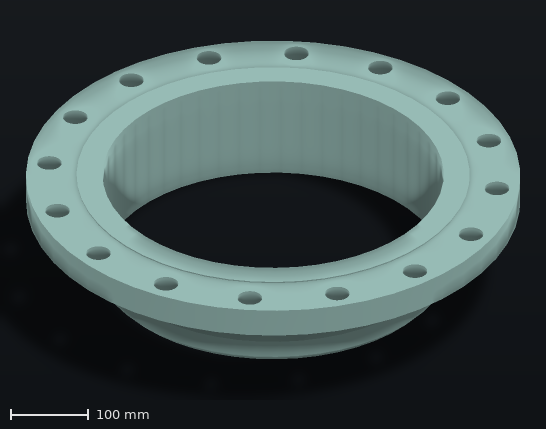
import cadquery as cq
import math

flange_diameter = 635.0
flange_thickness = 38.1
raised_face_height = 1.66
overall_height = 139.76

hub_base_diameter = 505.0
raised_face_diameter = hub_base_diameter
neck_diameter = 457.2
bore_diameter = 438.2
neck_height = 32.5
bevel_height = 9.5
weld_land = 0.6

hub_seam_angle_at_flange = -22.5
hub_twist = 18.5

bolt_count = 16
bolt_circle_diameter = 577.8
bolt_hole_diameter = 31.8

bore_radius = bore_diameter / 2
neck_radius = neck_diameter / 2
flange_top = overall_height - raised_face_height
flange_bottom = flange_top - flange_thickness


def disc(diameter, bottom, top):
    """Plain cylinder on the flange axis."""
    return cq.Workplane("XY", origin=(0, 0, bottom)).circle(diameter / 2).extrude(top - bottom)


def point_on_circle(diameter, height, angle):
    """Point on a circle about the flange axis, angle in degrees from +X."""
    radius = diameter / 2
    return cq.Vector(radius * math.cos(math.radians(angle)), radius * math.sin(math.radians(angle)), height)


def half_arcs(diameter, height, seam_angle):
    """Two half arcs forming a circle, meeting at seam_angle and opposite it."""
    arcs = []
    for start_angle in (seam_angle, seam_angle + 180):
        start, middle, end = [
            point_on_circle(diameter, height, start_angle + turn)
            for turn in (0, 90, 180)
        ]
        arcs.append(cq.Edge.makeThreePointArc(start, middle, end))
    return arcs


def twisted_hub():
    """Tapered hub from the neck up to the flange."""
    neck_arcs = half_arcs(neck_diameter, neck_height, hub_seam_angle_at_flange - hub_twist)
    flange_arcs = half_arcs(hub_base_diameter, flange_bottom, hub_seam_angle_at_flange)
    flanks = [cq.Face.makeRuledSurface(lower, upper) for lower, upper in zip(neck_arcs, flange_arcs)]
    ends = [cq.Face.makeFromWires(cq.Wire.assembleEdges(arcs)) for arcs in (neck_arcs, flange_arcs)]
    return cq.Workplane(cq.Solid.makeSolid(cq.Shell.makeShell(flanks + ends)))


def bevelled_neck():
    """Straight welding end with a bevel around its lower rim."""
    half_section = [
        (0, 0),
        (bore_radius + weld_land, 0),
        (neck_radius, bevel_height),
        (neck_radius, neck_height),
        (0, neck_height),
    ]
    return cq.Workplane("XZ").polyline(half_section).close().revolve(360, (0, 0), (0, 1))


def bolt_holes():
    """Through holes on the bolt circle, straddling the X and Y axes."""
    half_pitch = 180 / bolt_count
    return (
        cq.Workplane("XY", origin=(0, 0, flange_bottom))
        .polarArray(bolt_circle_diameter / 2, half_pitch, 360, bolt_count)
        .circle(bolt_hole_diameter / 2)
        .extrude(flange_thickness)
    )


flange_plate = disc(flange_diameter, flange_bottom, flange_top)
raised_face = disc(raised_face_diameter, flange_top, overall_height)
bore = disc(bore_diameter, 0, overall_height)

blank = bevelled_neck().union(twisted_hub()).union(flange_plate).union(raised_face)
result = blank.cut(bore).cut(bolt_holes())